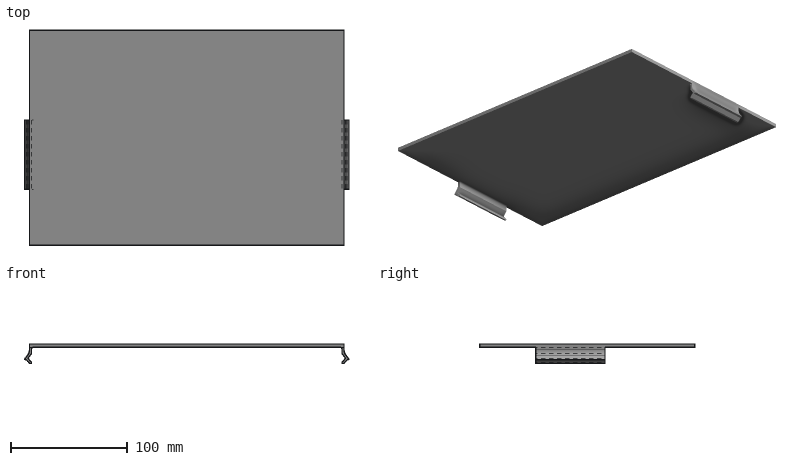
import cadquery as cq
import math

overall_length = 278.5
plate_length = 270.0
plate_width = 184.7
plate_thickness = 3.0
overall_height = 17.0

clip_width = 59.5
clip_offset_y = -14.5
wall_thickness = 2.0
root_fillet = 1.5
bend_start_depth = 5.0
bend_radius = 8.0
bend_angle = math.radians(37)
inner_corner_depth = 8.4
valley_reach = 1.0
barb_length = 2.0
barb_drop = 0.5
foot_length = 1.7
foot_end_height = 1.0


def bend_point(angle):
    """Point on the outer bend, whose axis lies outside the upright wall."""
    axis_x = plate_length / 2 + bend_radius
    return axis_x - bend_radius * math.cos(angle), -bend_start_depth - bend_radius * math.sin(angle)


def make_clip():
    """Snap clip at +X: upright wall, outward bend, barb and inward-sloping foot."""
    wall_outer = plate_length / 2
    wall_inner = wall_outer - wall_thickness
    tip_x = overall_length / 2
    bend_end = bend_point(bend_angle)
    tip_z = bend_end[1] - (tip_x - bend_end[0]) / math.tan(bend_angle)
    barb_base = (tip_x - barb_length, tip_z - barb_drop)

    foot_outer = wall_inner + foot_length

    valley_x = wall_outer + valley_reach
    valley_z = -inner_corner_depth - (valley_x - wall_inner) / math.tan(bend_angle)

    profile = (
        cq.Workplane("XZ")
        .moveTo(wall_outer, -plate_thickness)
        .lineTo(wall_outer, -bend_start_depth)
        .threePointArc(bend_point(bend_angle / 2), bend_end)
        .lineTo(tip_x, tip_z)
        .lineTo(*barb_base)
        .lineTo(foot_outer, -overall_height)
        .lineTo(wall_inner, -overall_height)
        .lineTo(wall_inner, -overall_height + foot_end_height)
        .lineTo(valley_x, valley_z)
        .lineTo(wall_inner, -inner_corner_depth)
        .lineTo(wall_inner, -plate_thickness - root_fillet)
        .radiusArc((wall_inner - root_fillet, -plate_thickness), -root_fillet)
        .close()
    )
    return profile.extrude(clip_width / 2, both=True).translate((0, clip_offset_y, 0))


plate = cq.Workplane("XY").rect(plate_length, plate_width).extrude(-plate_thickness)
clip = make_clip()
result = plate.union(clip).union(clip.mirror("YZ"))